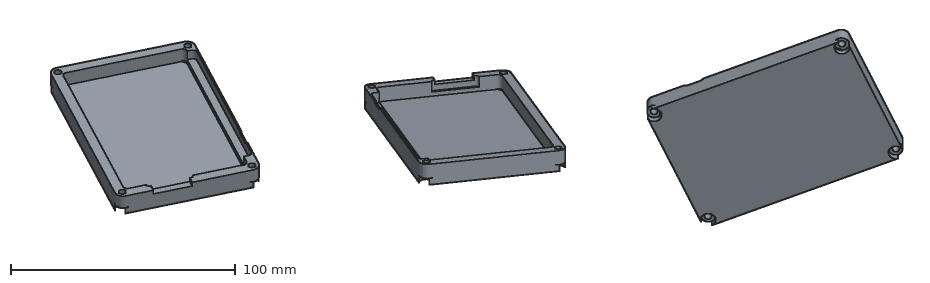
import cadquery as cq

LENGTH = 97.6
WIDTH = 67.4
HEIGHT = 10.0
CORNER_RADIUS = 3.9

RIM = 4.8
POCKET_DEPTH = 7.0
POCKET_RADIUS = 2.0

HOLE_DIAMETER = 3.2
HOLE_INSET = 3.3
HEAD_DIAMETER = 6.6
HEAD_DEPTH = 3.1

SHELF_LEFT = 6.9
SHELF_RIGHT = 10.5
BACK_WALL = 0.8
SHELF_DEPTH = 4.9
SHELF_RADIUS = 2.0

DIP_CENTER_X = 24.9
DIP_LENGTH = 9.0
DIP_END_DIAMETER = 3.0
DIP_DEPTH = 1.0

PORT_CENTER_Y = -7.8
PORT_LENGTH = 21.9
PORT_WALL = 3.4
PORT_DEPTH = 5.0
PORT_RADIUS = 1.5
NOTCH_LENGTH = 18.2
NOTCH_DEPTH = 2.05


def top_cut(x_min, x_max, y_min, y_max, depth, radius=0.0):
    """Rectangular cutter hanging from the top face, with optional rounded corners."""
    cutter = cq.Workplane("XY").box(x_max - x_min, y_max - y_min, depth, centered=False)
    if radius > 0:
        cutter = cutter.edges("|Z").fillet(radius)
    return cutter.translate((x_min, y_min, HEIGHT - depth))


half_length = LENGTH / 2
half_width = WIDTH / 2
pocket_x = half_length - RIM
pocket_y = half_width - RIM

body = cq.Workplane("XY").box(LENGTH, WIDTH, HEIGHT, centered=(True, True, False))
body = body.edges("|Z").fillet(CORNER_RADIUS)
body = body.cut(top_cut(-pocket_x, pocket_x, -pocket_y, pocket_y, POCKET_DEPTH, POCKET_RADIUS))

shelf = top_cut(
    SHELF_LEFT - half_length,
    half_length - SHELF_RIGHT,
    pocket_y - 2 * SHELF_RADIUS,
    half_width - BACK_WALL,
    SHELF_DEPTH,
    SHELF_RADIUS,
)
body = body.cut(shelf)

dip_axis_z = HEIGHT - DIP_DEPTH + DIP_END_DIAMETER / 2
dip = cq.Workplane("XZ", origin=(DIP_CENTER_X, half_width, dip_axis_z))
dip = dip.slot2D(DIP_LENGTH, DIP_END_DIAMETER).extrude(RIM)
body = body.cut(dip)

port = top_cut(
    pocket_x - 2 * PORT_RADIUS,
    half_length - PORT_WALL,
    PORT_CENTER_Y - PORT_LENGTH / 2,
    PORT_CENTER_Y + PORT_LENGTH / 2,
    PORT_DEPTH,
    PORT_RADIUS,
)
body = body.cut(port)

notch = top_cut(
    pocket_x,
    half_length,
    PORT_CENTER_Y - NOTCH_LENGTH / 2,
    PORT_CENTER_Y + NOTCH_LENGTH / 2,
    NOTCH_DEPTH,
)
body = body.cut(notch)

hole_x = half_length - HOLE_INSET
hole_y = half_width - HOLE_INSET
hole_centers = [(x, y) for x in (-hole_x, hole_x) for y in (-hole_y, hole_y)]
holes = cq.Workplane("XY").pushPoints(hole_centers).circle(HOLE_DIAMETER / 2).extrude(HEIGHT)
heads = cq.Workplane("XY").pushPoints(hole_centers).circle(HEAD_DIAMETER / 2).extrude(HEAD_DEPTH)
body = body.cut(holes).cut(heads)

result = body